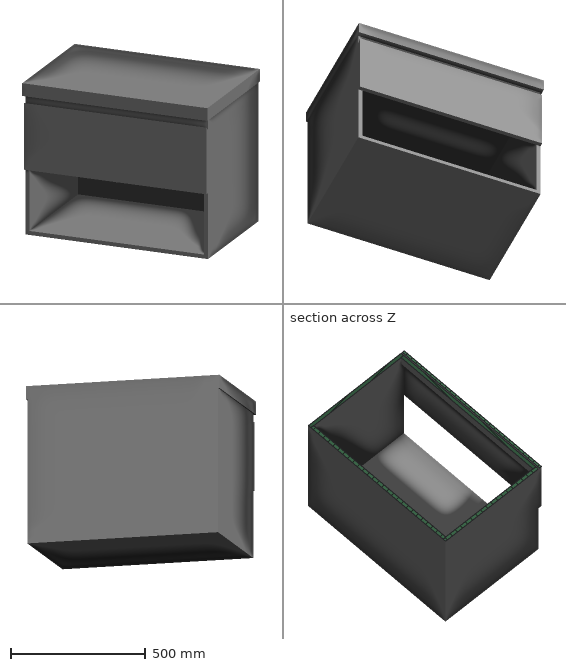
import cadquery as cq

width = 750.0
depth = 500.0
height = 600.0

top_thickness = 50.0
side_overhang = 5.0
front_overhang = 19.0
board = 16.0
rail_height = 75.0

drawer_front_thickness = 16.0
drawer_front_bottom = 259.5
drawer_front_height = 262.5
grip_bevel_drop = 13.5

carcass_width = width - 2 * side_overhang
carcass_height = height - top_thickness
carcass_depth = depth - front_overhang
inner_width = carcass_width - 2 * board
carcass_left = side_overhang
inner_left = carcass_left + board
carcass_front = front_overhang


def box_at(corner, size):
    """Box with its lowest X, Y, Z corner at the given place."""
    return cq.Workplane("XY").box(*size, centered=False).translate(corner)


def make_worktop():
    return box_at((0, 0, carcass_height), (width, depth, top_thickness))


def make_side_panel(left_face):
    return box_at((left_face, carcass_front, 0), (board, carcass_depth, carcass_height))


def make_bottom_panel():
    return box_at((inner_left, carcass_front, 0), (inner_width, carcass_depth, board))


def make_back_panel():
    back_front_face = depth - board
    back_height = carcass_height - board
    return box_at((inner_left, back_front_face, board), (inner_width, board, back_height))


def make_front_rail():
    """Upright rail under the worktop, flush with the front edges of the sides."""
    rail_bottom = carcass_height - rail_height
    return box_at((inner_left, carcass_front, rail_bottom), (inner_width, board, rail_height))


def make_drawer_front():
    """Full-width front whose top edge slopes down to the rear as a finger grip."""
    rear = carcass_front
    face = rear - drawer_front_thickness
    crest = drawer_front_bottom + drawer_front_height
    return (
        cq.Workplane("YZ", origin=(carcass_left, 0, 0))
        .moveTo(face, drawer_front_bottom)
        .lineTo(rear, drawer_front_bottom)
        .lineTo(rear, crest - grip_bevel_drop)
        .lineTo(face, crest)
        .close()
        .extrude(carcass_width)
    )


worktop = make_worktop()
side_left_faces = (carcass_left, inner_left + inner_width)
side_panels = [make_side_panel(left_face) for left_face in side_left_faces]
bottom_panel = make_bottom_panel()
back_panel = make_back_panel()
front_rail = make_front_rail()
drawer_front = make_drawer_front()

result = cq.Compound.makeCompound([
    worktop.val(),
    *[panel.val() for panel in side_panels],
    bottom_panel.val(),
    back_panel.val(),
    front_rail.val(),
    drawer_front.val(),
])